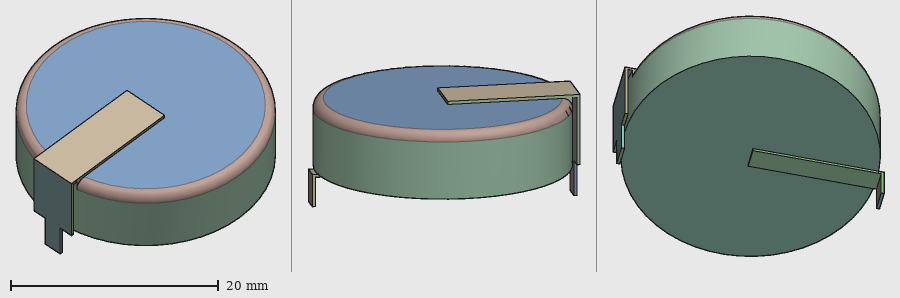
import cadquery as cq

cell_diameter = 25.0
cell_height = 6.7
rim_radius = 1.0

overall_length = 26.0
overall_height = 10.5
sheet = 0.3
tab_width = 5.0
pin_width = 2.0
rear_pin_drop = 3.22

terminal_reach = overall_length / 2
top_z = cell_height + sheet
front_pin_drop = overall_height - top_z


def centered_plate(width, y_min, y_max, z_min, z_max):
    """Rectangular plate centered on X, spanning the given Y and Z ranges."""
    return (
        cq.Workplane("XY")
        .box(width, y_max - y_min, z_max - z_min, centered=(True, False, False))
        .translate((0, y_min, z_min))
    )


def cell():
    """Coin cell with a rounded top rim that stays square beneath the top tab."""
    cylinder = cq.Workplane("XY").circle(cell_diameter / 2).extrude(cell_height)
    rounded = cylinder.faces(">Z").edges().fillet(rim_radius)
    square_rim = cylinder.intersect(
        centered_plate(tab_width, -terminal_reach, 0, 0, cell_height)
    )
    return rounded.union(square_rim)


def top_terminal():
    """Wide tab from the cell center, bent down the front and ending in a pin."""
    outer_y = -terminal_reach
    inner_y = outer_y + sheet
    tab = centered_plate(tab_width, outer_y, 0, cell_height, top_z)
    front_wall = centered_plate(tab_width, outer_y, inner_y, 0, top_z)
    pin = centered_plate(pin_width, outer_y, inner_y, -front_pin_drop, top_z)
    return tab.union(front_wall).union(pin)


def bottom_terminal():
    """Narrow strip under the cell, bent down behind it into a pin."""
    strip = centered_plate(pin_width, 0, terminal_reach, -sheet, 0)
    pin = centered_plate(
        pin_width, terminal_reach - sheet, terminal_reach, -rear_pin_drop, 0
    )
    return strip.union(pin)


result = cell().union(top_terminal()).union(bottom_terminal())